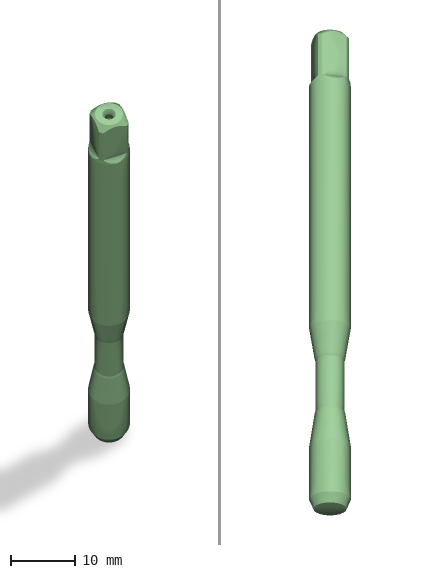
import cadquery as cq
import math

length = 80.0
body_diameter = 6.5
body_radius = body_diameter / 2

head_length = 10.5
lead_length = 1.6
lead_tip_radius = 2.6

neck_radius = 4.6 / 2
taper_end_radius = 2.4
taper_length = 5.5
neck_step_length = 0.4
upper_taper_top = 30.5

square_width = 5.0
square_corner_radius = 6.3 / 2
square_base = 72.2
shoulder_bottom = 71.3
shoulder_top = 72.0
end_face_radius = 2.2
cutter_margin = 0.8
end_chamfer = square_corner_radius - end_face_radius

countersink_radius = 1.0
pilot_radius = 1.2 / 2
countersink_angle = 60.0
pilot_depth = 1.6
drill_tip_angle = 118.0


def revolve_profile(points):
    """Revolve a closed (radius, height) outline about Z."""
    return cq.Workplane("XZ").polyline(points).close().revolve(360, (0, 0, 0), (0, 1, 0))


def make_head():
    """Plain cylinder with a tapered lead at its tip."""
    return revolve_profile([
        (0, 0),
        (lead_tip_radius, 0),
        (body_radius, lead_length),
        (body_radius, head_length),
        (0, head_length),
    ])


def make_turned_shank():
    """Lower taper, neck, upper taper, cylinder and round blank of the drive square."""
    lower_taper_top = head_length + taper_length
    upper_taper_bottom = upper_taper_top - taper_length + neck_step_length
    return revolve_profile([
        (0, head_length),
        (body_radius, head_length),
        (taper_end_radius, lower_taper_top),
        (neck_radius, lower_taper_top + neck_step_length),
        (neck_radius, upper_taper_bottom - neck_step_length),
        (taper_end_radius, upper_taper_bottom),
        (body_radius, upper_taper_top),
        (body_radius, shoulder_bottom),
        (square_corner_radius, shoulder_top),
        (square_corner_radius, length - end_chamfer),
        (end_face_radius, length),
        (0, length),
    ])


def make_flat_cutter():
    """Cutter for one flat of the square, with a 45 degree run-out at its base."""
    flat = square_width / 2
    outside = body_radius + cutter_margin
    slope_bottom = square_base - (outside - flat)
    return (
        cq.Workplane("XZ")
        .polyline([(flat, square_base), (outside, slope_bottom), (outside, length), (flat, length)])
        .close()
        .extrude(body_radius, both=True)
    )


def make_centre_hole():
    """Countersunk pilot hole with a conical bottom."""
    countersink_depth = (countersink_radius - pilot_radius) / math.tan(math.radians(countersink_angle / 2))
    tip_depth = pilot_radius / math.tan(math.radians(drill_tip_angle / 2))
    return revolve_profile([
        (0, length),
        (countersink_radius, length),
        (pilot_radius, length - countersink_depth),
        (pilot_radius, length - pilot_depth),
        (0, length - pilot_depth - tip_depth),
    ])


def make_shank():
    """Turned shank with four drive flats and a centre hole in its end."""
    shank = make_turned_shank()
    for angle in (0, 90, 180, 270):
        shank = shank.cut(make_flat_cutter().rotate((0, 0, 0), (0, 0, 1), angle))
    return shank.cut(make_centre_hole())


head = make_head()
shank = make_shank()

result = cq.Compound.makeCompound([head.val(), shank.val()])